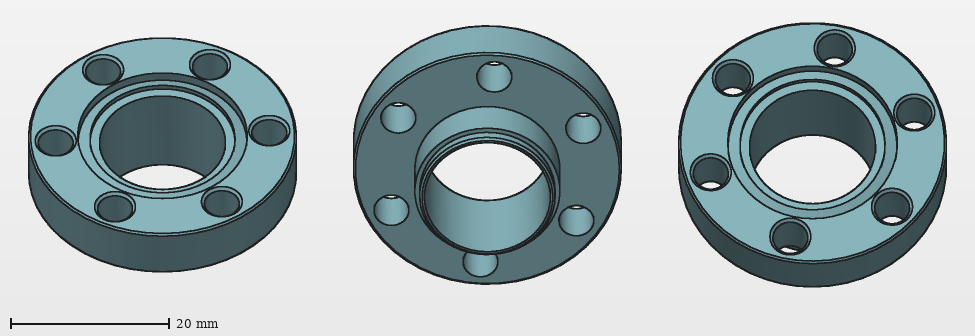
import cadquery as cq

total_height = 14.2

flange_diameter = 33.8
flange_thickness = 7.2
rim_chamfer = 0.25
flange_bottom = total_height - flange_thickness

bolt_count = 6
bolt_circle_diameter = 27.0
bolt_hole_diameter = 4.4
bolt_hole_chamfer = 0.38

counterbore_diameter = 21.4
shoulder_z = total_height - flange_thickness / 2

head_clearance = 0.05
head_diameter = counterbore_diameter - 2 * head_clearance
head_edge_depth = 1.3
knife_tip_depth = 0.63
head_edge_z = total_height - head_edge_depth
knife_tip_z = total_height - knife_tip_depth
inner_ledge_z = head_edge_z

tube_diameter = 18.3
tube_bore_diameter = 15.9
tube_end_diameter = 17.1
tube_end_length = 1.55
tube_end_chamfer = 0.3


def revolve_profile(profile):
    """Revolve (radius, height) points about the Z axis."""
    return cq.Workplane("XZ").polyline(profile).close().revolve(360, (0, 0), (0, 1))


def make_bolt_holes():
    hole_radius = bolt_hole_diameter / 2
    mouth_radius = hole_radius + bolt_hole_chamfer
    hole = revolve_profile([
        (0, flange_bottom),
        (hole_radius, flange_bottom),
        (hole_radius, total_height - bolt_hole_chamfer),
        (mouth_radius, total_height),
        (0, total_height),
    ]).val()
    places = cq.Workplane("XY").polarArray(bolt_circle_diameter / 2, 90, 360, bolt_count)
    return places.eachpoint(lambda place: hole.moved(place))


def make_flange():
    rim_radius = flange_diameter / 2
    counterbore_radius = counterbore_diameter / 2
    lip_radius = tube_diameter / 2
    ring = revolve_profile([
        (lip_radius, flange_bottom),
        (rim_radius - rim_chamfer, flange_bottom),
        (rim_radius, flange_bottom + rim_chamfer),
        (rim_radius, total_height - rim_chamfer),
        (rim_radius - rim_chamfer, total_height),
        (counterbore_radius, total_height),
        (counterbore_radius, shoulder_z),
        (lip_radius, shoulder_z),
    ])
    return ring.cut(make_bolt_holes())


def make_insert():
    head_radius = head_diameter / 2
    tube_radius = tube_diameter / 2
    bore_radius = tube_bore_diameter / 2
    end_radius = tube_end_diameter / 2
    return revolve_profile([
        (bore_radius, 0),
        (end_radius - tube_end_chamfer, 0),
        (end_radius, tube_end_chamfer),
        (end_radius, tube_end_length),
        (tube_radius, tube_end_length),
        (tube_radius, shoulder_z),
        (head_radius, shoulder_z),
        (head_radius, head_edge_z),
        (tube_radius, knife_tip_z),
        (tube_radius, inner_ledge_z),
        (bore_radius, inner_ledge_z),
    ])


flange = make_flange()
insert = make_insert()
result = cq.Compound.makeCompound([*flange.solids().vals(), insert.val()])